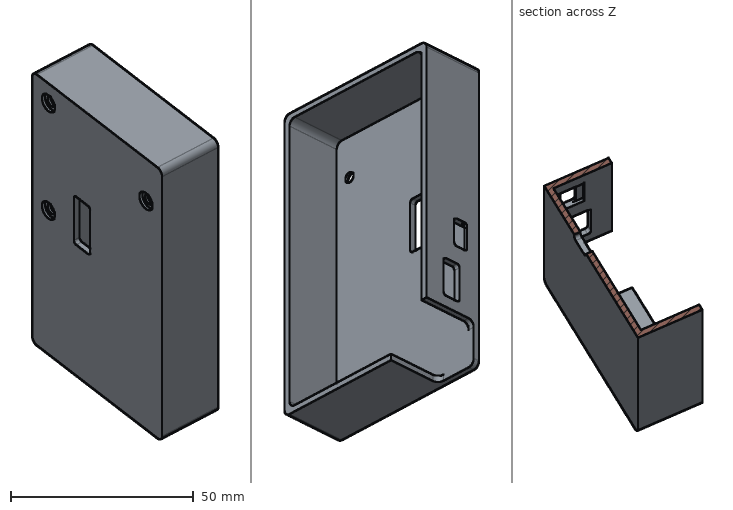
import cadquery as cq

width = 56.0
depth = 20.0
height = 96.0
wall = 2.0
corner_radius = wall

opening_radius = 1.0

hole_diameter = 3.2
counterbore_diameter = 5.6
counterbore_depth = 1.1
left_hole_x = 7.0
right_hole_x = 49.0
screw_holes = [(left_hole_x, 89.0), (left_hole_x, 51.0), (right_hole_x, 80.9)]

window_x = 21.5
window_z = 54.9
window_width = 7.0
window_height = 17.0

small_slot_y = 7.0
small_slot_z = 39.6
small_slot_width = 4.9
small_slot_height = 8.8
large_slot_y = 10.5
large_slot_z = 23.6
large_slot_width = 6.0
large_slot_height = 12.0

thinned_wall = 1.0
relief_width = 9.0

notch_size = 14.0
notch_radius = wall


def box(x_range, y_range, z_range):
    """Box spanning the given (low, high) ranges."""
    lows, highs = zip(x_range, y_range, z_range)
    sizes = [high - low for low, high in zip(lows, highs)]
    return cq.Workplane("XY").box(*sizes, centered=False).translate(lows)


def make_shell():
    """Rounded tray with uniform walls, open toward +Y."""
    outer = box((0, width), (0, depth), (0, height)).edges("|Y").fillet(corner_radius)
    cavity = box((wall, width - wall), (wall, depth), (wall, height - wall))
    return outer.cut(cavity.edges("|Y").fillet(corner_radius))


def make_screw_hole(x, z):
    """Through hole with a counterbore sunk from the front face."""
    hole = cq.Solid.makeCylinder(hole_diameter / 2, wall, cq.Vector(x, 0, z), cq.Vector(0, 1, 0))
    counterbore = cq.Solid.makeCylinder(
        counterbore_diameter / 2, counterbore_depth, cq.Vector(x, 0, z), cq.Vector(0, 1, 0)
    )
    return hole.fuse(counterbore)


def make_window():
    """Rounded rectangle through the front plate."""
    window = cq.Workplane("XY").box(window_width, wall, window_height)
    return window.edges("|Y").fillet(opening_radius).translate((window_x, wall / 2, window_z))


def make_side_slot(y, z, slot_width, slot_height):
    """Rounded rectangle through the left wall."""
    slot = cq.Workplane("XY").box(wall, slot_width, slot_height)
    return slot.edges("|X").fillet(opening_radius).translate((wall / 2, y, z))


def make_slot_relief():
    """Pocket in the inner face of the left wall that thins it around the small slot."""
    relief_depth = wall - thinned_wall
    relief = cq.Workplane("XY").box(relief_depth, relief_width, small_slot_height)
    return relief.translate((wall - relief_depth / 2, small_slot_y, small_slot_z))


def make_notch():
    """Corner cutter, rounded where it meets the inner face of the front plate."""
    notch = box((0, notch_size), (wall, depth), (0, notch_size))
    return notch.faces("<Y").edges(">X or >Z").fillet(notch_radius)


result = make_shell()
for hole_x, hole_z in screw_holes:
    result = result.cut(cq.Workplane(make_screw_hole(hole_x, hole_z)))
result = result.cut(make_window())
result = result.cut(make_side_slot(small_slot_y, small_slot_z, small_slot_width, small_slot_height))
result = result.cut(make_side_slot(large_slot_y, large_slot_z, large_slot_width, large_slot_height))
result = result.cut(make_slot_relief())
result = result.cut(make_notch())